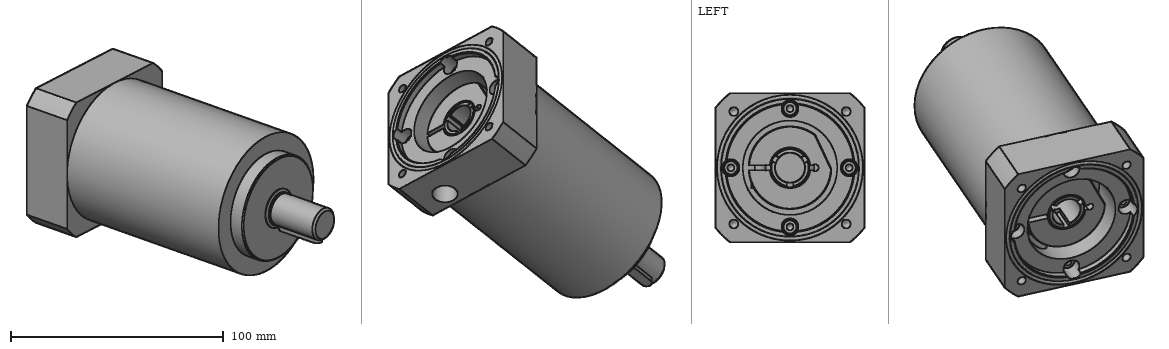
import cadquery as cq
import math


total_length = 153.5
flange_front = 0.54
clamp_front = 10.3
housing_front = 25.2
pilot_start = 117.6
pilot_end = 125.1

body_size = 70.0
corner_diameter = 90.0
recess_diameter = 59.9
recess_depth = 3.5
recess_chamfer = 0.5
opening_diameter = 44.4
access_hole_diameter = 12.0
drill_tip_angle = 118.0
corner_hole_diameter = 4.1
corner_hole_offset = 26.4
corner_hole_depth = 12.3

groove_outer_diameter = 68.6
groove_inner_diameter = 64.6
seal_outer_diameter = 68.5
seal_inner_diameter = 65.0

screw_count = 4
screw_circle_diameter = 55.6
seat_diameter = 8.0
seat_depth = 12.0
screw_head_diameter = 7.0
screw_head_height = 4.0
screw_head_chamfer = 0.5
screw_shank_diameter = 4.0
screw_thread_length = 8.0
socket_diameter = 3.2
socket_depth = 2.0

pilot_diameter = 52.2
pilot_chamfer = 0.6
shaft_diameter = 16.0
shaft_chamfer = 1.0
collar_diameter = 19.3
collar_length = 0.3
collar_taper_end = 126.0
collar_tip_diameter = 16.6
neck_diameter = 15.4
neck_end = 126.8
neck_chamfer = 0.3

key_width = 5.0
key_height = 5.0
key_start = 126.2
key_length = 25.0
key_outer_radius = 10.0

input_diameter = 18.3
input_chamfer = 0.5
input_bore_chamfer = 0.2
input_bore_diameter = 14.0
input_bore_end = 30.7
shoulder_diameter = 22.7
shoulder_length = 1.7
slot_count = 3
slot_width = 3.0

clamp_diameter = 39.0
clamp_chamfer = 0.3
clamp_bore_chamfer = 0.5
flat_distance = 17.4
flat_angle = 25.3
slit_width = 2.5
relief_diameter = 3.2
relief_offset = 11.8

clamp_screw_x = 16.9
clamp_screw_y = 14.0
clamp_shank_diameter = 5.0
clamp_shank_top = 10.0
clamp_head_diameter = 8.5
clamp_head_top = -4.6
clamp_head_height = 5.0
clamp_seat_diameter = 9.0

seal_section_radius = (seal_outer_diameter - seal_inner_diameter) / 4
seal_mean_radius = (seal_outer_diameter + seal_inner_diameter) / 4
groove_depth = 2 * seal_section_radius - flange_front
seat_floor = flange_front + seat_depth
screw_tip = housing_front + screw_thread_length
shoulder_start = housing_front - shoulder_length


def rod(x_start, x_end, diameter, y=0.0, z=0.0):
    """Cylinder along X."""
    return cq.Workplane("YZ", origin=(x_start, y, z)).circle(diameter / 2).extrude(x_end - x_start)


def upright_rod(z_start, z_end, diameter):
    """Cylinder along Z on the clamp screw's axis."""
    base = cq.Workplane("XY", origin=(clamp_screw_x, clamp_screw_y, z_start))
    return base.circle(diameter / 2).extrude(z_end - z_start)


def block(x_start, x_end, y_start, y_end, height):
    """Box centred on Z = 0."""
    size_x = x_end - x_start
    size_y = y_end - y_start
    centre = ((x_start + x_end) / 2, (y_start + y_end) / 2, 0)
    return cq.Workplane("XY").box(size_x, size_y, height).translate(centre)


def turned(points, y=0.0, z=0.0):
    """Outline of (x, radius) points turned about an axis along X."""
    return cq.Workplane("XY", origin=(0, y, z)).polyline(points).close().revolve(360, (0, 0, 0), (1, 0, 0))


def drilled_hole(x_start, depth, diameter, y, z):
    """Blind hole along +X with a conical drill tip beyond its full-diameter depth."""
    radius = diameter / 2
    x_end = x_start + depth
    tip = radius / math.tan(math.radians(drill_tip_angle / 2))
    return turned([(x_start, 0), (x_start, radius), (x_end, radius), (x_end + tip, 0)], y, z)


def screw_centres():
    angles = [math.radians(360 * index / screw_count) for index in range(screw_count)]
    radius = screw_circle_diameter / 2
    return [(radius * math.cos(angle), radius * math.sin(angle)) for angle in angles]


def make_sealing_ring():
    return cq.Workplane(cq.Solid.makeTorus(
        seal_mean_radius, seal_section_radius, cq.Vector(seal_section_radius, 0, 0), cq.Vector(1, 0, 0)))


def make_flange():
    flange = block(flange_front, housing_front, -body_size / 2, body_size / 2, body_size)
    flange = flange.intersect(rod(flange_front, housing_front, corner_diameter))

    recess_radius = recess_diameter / 2
    recess_floor = flange_front + recess_depth
    flange = flange.cut(turned([
        (flange_front, 0),
        (flange_front, recess_radius + recess_chamfer),
        (flange_front + recess_chamfer, recess_radius),
        (recess_floor, recess_radius),
        (recess_floor, opening_diameter / 2),
        (housing_front, opening_diameter / 2),
        (housing_front, 0),
    ]))

    groove_floor = flange_front + groove_depth
    groove = rod(flange_front, groove_floor, groove_outer_diameter)
    flange = flange.cut(groove.cut(rod(flange_front, groove_floor, groove_inner_diameter)))

    for y in (-corner_hole_offset, corner_hole_offset):
        for z in (-corner_hole_offset, corner_hole_offset):
            flange = flange.cut(drilled_hole(flange_front, corner_hole_depth, corner_hole_diameter, y, z))

    for y, z in screw_centres():
        flange = flange.cut(rod(flange_front, seat_floor, seat_diameter, y, z))
        flange = flange.cut(rod(seat_floor, housing_front, screw_shank_diameter, y, z))

    return flange.cut(upright_rod(-body_size, 0, access_hole_diameter))


def make_flange_screw(y, z):
    head_front = seat_floor - screw_head_height
    screw = rod(head_front, seat_floor, screw_head_diameter, y, z).faces("<X").chamfer(screw_head_chamfer)
    screw = screw.union(rod(seat_floor, screw_tip, screw_shank_diameter, y, z))
    return screw.cut(drilled_hole(head_front, socket_depth, socket_diameter, y, z))


def make_gearbox():
    """Housing with its output shaft and slotted input shaft."""
    shaft_radius = shaft_diameter / 2
    gearbox = turned([
        (input_bore_end, 0),
        (input_bore_end, input_bore_diameter / 2),
        (clamp_front + input_bore_chamfer, input_bore_diameter / 2),
        (clamp_front, input_bore_diameter / 2 + input_bore_chamfer),
        (clamp_front, input_diameter / 2 - input_chamfer),
        (clamp_front + input_chamfer, input_diameter / 2),
        (shoulder_start, input_diameter / 2),
        (housing_front, shoulder_diameter / 2),
        (housing_front, body_size / 2),
        (pilot_start, body_size / 2),
        (pilot_start, pilot_diameter / 2),
        (pilot_end - pilot_chamfer, pilot_diameter / 2),
        (pilot_end, pilot_diameter / 2 - pilot_chamfer),
        (pilot_end, collar_diameter / 2),
        (pilot_end + collar_length, collar_diameter / 2),
        (collar_taper_end, collar_tip_diameter / 2),
        (collar_taper_end, neck_diameter / 2),
        (neck_end, neck_diameter / 2),
        (neck_end + neck_chamfer, shaft_radius),
        (total_length - shaft_chamfer, shaft_radius),
        (total_length, shaft_radius - shaft_chamfer),
        (total_length, 0),
    ])
    for index in range(slot_count):
        slot = block(clamp_front, shoulder_start, 0, input_diameter, slot_width)
        angle = -90 + 360 * index / slot_count
        gearbox = gearbox.cut(slot.rotate((0, 0, 0), (1, 0, 0), angle))
    for y, z in screw_centres():
        gearbox = gearbox.cut(rod(housing_front, screw_tip, screw_shank_diameter, y, z))
    return gearbox.cut(make_key())


def make_key():
    base = cq.Workplane("XY", origin=(key_start + key_length / 2, 0, -key_outer_radius))
    return base.slot2D(key_length, key_width).extrude(key_height)


def make_clamp_ring():
    """Slit ring around the input shaft, in one piece with its tightening screw."""
    ring = rod(clamp_front, shoulder_start, clamp_diameter)
    flat = block(clamp_front, shoulder_start, -clamp_diameter, -flat_distance, 2 * clamp_diameter)
    ring = ring.cut(flat.rotate((0, 0, 0), (1, 0, 0), -flat_angle))
    ring = ring.faces("<X").chamfer(clamp_chamfer)

    bore_radius = input_diameter / 2
    ring = ring.cut(turned([
        (clamp_front, 0),
        (clamp_front, bore_radius + clamp_bore_chamfer),
        (clamp_front + clamp_bore_chamfer, bore_radius),
        (shoulder_start, bore_radius),
        (shoulder_start, 0),
    ]))

    ring = ring.cut(block(clamp_front, shoulder_start, 0, clamp_diameter, slit_width))
    ring = ring.cut(block(clamp_front, shoulder_start, -relief_offset, 0, slit_width))
    ring = ring.cut(rod(clamp_front, shoulder_start, relief_diameter, -relief_offset))

    ring = ring.cut(upright_rod(-clamp_diameter, clamp_head_top, clamp_seat_diameter))
    ring = ring.union(upright_rod(clamp_head_top - clamp_head_height, clamp_head_top, clamp_head_diameter))
    return ring.union(upright_rod(clamp_head_top, clamp_shank_top, clamp_shank_diameter))


sealing_ring = make_sealing_ring()
flange = make_flange()
flange_screws = [make_flange_screw(y, z) for y, z in screw_centres()]
gearbox = make_gearbox()
key = make_key()
clamp_ring = make_clamp_ring()

result = cq.Compound.makeCompound([
    sealing_ring.val(),
    flange.val(),
    *[screw.val() for screw in flange_screws],
    gearbox.val(),
    key.val(),
    clamp_ring.val(),
])